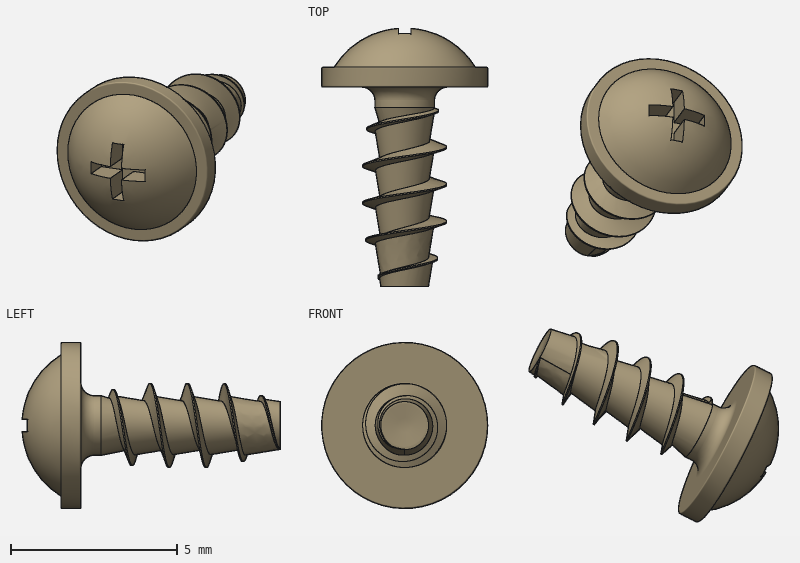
import cadquery as cq
import math


flange_radius = 2.5
flange_thickness = 0.6
flange_edge_round = 0.04
join_height = flange_thickness / 2
dome_base_radius = 2.13
dome_height = 1.185

recess_wing_width = 0.37
recess_span = 1.78
recess_depth = 0.9

shank_length = 6.0
neck_radius = 0.9
neck_fillet = 0.4
neck_depth = 0.61
tip_radius = 0.72
tip_dish_radius = 0.65
tip_dish_depth = 0.06

thread_start_depth = 0.69
thread_turns = 4.75
pitch = (shank_length - thread_start_depth) / thread_turns
thread_radius = 1.265
thread_start_radius = 1.02
thread_lead_in_turns = 1.0
thread_run_out_turns = 1.5
thread_end_margin = 0.08
crest_width = 0.04
head_flank_slope = math.tan(math.radians(20))
tip_flank_slope = math.tan(math.radians(16))
ridge_base_radius = 0.6

core_radius = 0.71
root_inner_radius = 0.67
root_drop = neck_radius - tip_radius
root_gap = 0.02
entry_taper = 0.3
root_end_margin = 0.03

samples_per_turn = 8


def make_head():
    flange = cq.Workplane("XZ").circle(flange_radius).extrude(-flange_thickness)
    flange = flange.edges().fillet(flange_edge_round)
    dome_top = flange_thickness + dome_height
    sphere_radius = (dome_base_radius**2 + dome_height**2) / (2 * dome_height)
    sphere_centre = dome_top - sphere_radius
    arc_middle_radius = dome_base_radius / 2
    arc_middle = sphere_centre + math.sqrt(sphere_radius**2 - arc_middle_radius**2)
    dome = (
        cq.Workplane("XY")
        .lineTo(0, dome_top)
        .threePointArc((arc_middle_radius, arc_middle), (dome_base_radius, flange_thickness))
        .lineTo(dome_base_radius, join_height)
        .lineTo(0, join_height)
        .close()
        .revolve(360, (0, 0, 0), (0, 1, 0))
    )
    floor = cq.Workplane("XZ", origin=(0, dome_top - recess_depth, 0))
    wing_x = floor.rect(recess_span, recess_wing_width).extrude(-recess_depth)
    wing_z = floor.rect(recess_wing_width, recess_span).extrude(-recess_depth)
    return flange.union(dome).cut(wing_x).cut(wing_z)


def make_shank_core():
    fillet_corner = neck_fillet * (1 - math.sqrt(0.5))
    return (
        cq.Workplane("XY")
        .moveTo(0, join_height)
        .lineTo(neck_radius + neck_fillet, join_height)
        .lineTo(neck_radius + neck_fillet, 0)
        .threePointArc((neck_radius + fillet_corner, -fillet_corner), (neck_radius, -neck_fillet))
        .lineTo(neck_radius, -neck_depth)
        .lineTo(core_radius, -neck_depth)
        .lineTo(core_radius, -shank_length)
        .lineTo(tip_dish_radius, -shank_length)
        .lineTo(0, tip_dish_depth - shank_length)
        .close()
        .revolve(360, (0, 0, 0), (0, 1, 0))
    )


def helical_solid(section, first_turn, last_turn):
    """Solid through section(turn), a list of (radius, depth) corners, swept about Y."""
    count = math.ceil((last_turn - first_turn) * samples_per_turn)
    paths = []
    for i in range(count + 1):
        turn = first_turn + (last_turn - first_turn) * i / count
        angle = 2 * math.pi * turn
        corners = [
            cq.Vector(radius * math.cos(angle), -depth, radius * math.sin(angle))
            for radius, depth in section(turn)
        ]
        paths.append(corners)
    edges = [cq.Edge.makeSpline(list(path)) for path in zip(*paths)]
    faces = [cq.Face.makeRuledSurface(edges[i - 1], edges[i]) for i in range(len(edges))]
    for corners in (paths[0], paths[-1]):
        faces.append(cq.Face.makeFromWires(cq.Wire.makePolygon(corners, close=True)))
    solid = cq.Solid.makeSolid(cq.Shell.makeShell(faces))
    return solid.fix()


def ridge_depth(turn):
    return thread_start_depth + pitch * turn


def crest_radius(turn):
    lead_in = thread_start_radius + (thread_radius - thread_start_radius) * turn / thread_lead_in_turns
    turns_left = thread_turns - turn
    run_out = tip_radius + (thread_radius - tip_radius) * turns_left / thread_run_out_turns
    return min(lead_in, thread_radius, run_out)


def ridge_section(turn):
    crest = crest_radius(turn)
    depth = ridge_depth(turn)
    height = crest - ridge_base_radius
    head_edge = depth - crest_width / 2
    tip_edge = depth + crest_width / 2
    return [
        (ridge_base_radius, head_edge - height * head_flank_slope),
        (crest, head_edge),
        (crest, tip_edge),
        (ridge_base_radius, tip_edge + height * tip_flank_slope),
    ]


def root_section(upper_radius, upper_depth, lower_radius, lower_depth):
    """Layer around the core; the upper end is the one nearer the head."""
    return [
        (root_inner_radius, upper_depth),
        (upper_radius, upper_depth),
        (lower_radius, lower_depth),
        (root_inner_radius, lower_depth),
    ]


def entry_root(turn):
    lower_depth = ridge_depth(turn) - root_gap
    drop = min(root_drop, entry_taper * (lower_depth - neck_depth))
    return root_section(neck_radius, neck_depth, neck_radius - drop, lower_depth)


def middle_root(turn):
    upper_depth = ridge_depth(turn - 1) + root_gap
    return root_section(neck_radius, upper_depth, tip_radius, ridge_depth(turn) - root_gap)


def exit_root(turn):
    upper_depth = ridge_depth(turn - 1) + root_gap
    rise = root_drop * min(1, (shank_length - upper_depth) / pitch)
    return root_section(tip_radius + rise, upper_depth, tip_radius, shank_length)


def make_threaded_shank():
    parts = [
        helical_solid(entry_root, root_end_margin, 1),
        helical_solid(middle_root, 1, thread_turns),
        helical_solid(exit_root, thread_turns, thread_turns + 1 - root_end_margin),
        helical_solid(ridge_section, 0, thread_turns - thread_end_margin),
    ]
    shank = make_shank_core()
    for part in parts:
        shank = shank.union(cq.Workplane(part))
    return shank


result = make_head().union(make_threaded_shank())